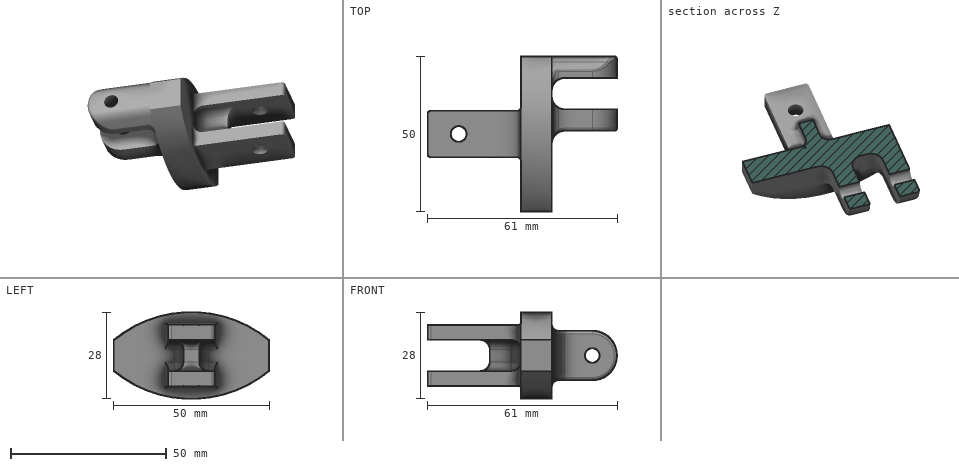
import cadquery as cq
import math

TOTAL_LENGTH = 61.0
SELECT_MARGIN = 0.05

PLATE_THICK = 10.0
PLATE_WIDTH = 50.0
PLATE_HEIGHT = 28.0
PLATE_END_HEIGHT = 10.0

TANG_LENGTH = 30.0
TANG_WIDTH = 15.0
TANG_GAP = 10.0
TANG_THICK = 4.9
TANG_CORNER_RADIUS = 1.0
TANG_HOLE_DIAMETER = 5.0
TANG_HOLE_X = -20.0
TANG_SIDE_FILLET = 1.05
TANG_OUTER_FILLET = 0.6
WEB_LENGTH = 10.0
WEB_WIDTH = 5.0
WEB_FILLET = 3.05

LUG_LENGTH = TOTAL_LENGTH - TANG_LENGTH - PLATE_THICK
LUG_RADIUS = 8.0
LUG_GAP = 10.0
FRONT_LUG_OUTER_Y = 1.0
LUG_THICK = (PLATE_WIDTH / 2 - FRONT_LUG_OUTER_Y - LUG_GAP) / 2
LUG_HOLE_DIAMETER = 4.65
LUG_SIDE_FILLET = 4.0
LUG_TOP_FILLET = 2.0
LUG_EDGE_ROUND = 1.0
LUG_TRIM_ROUND = 4.3
LUG_TRIM_INSET = 0.25

LUG_END_X = PLATE_THICK + LUG_LENGTH
LUG_CENTER_X = LUG_END_X - LUG_RADIUS
REAR_LUG_OUTER_Y = PLATE_WIDTH / 2
REAR_LUG_INNER_Y = REAR_LUG_OUTER_Y - LUG_THICK
FRONT_LUG_INNER_Y = REAR_LUG_INNER_Y - LUG_GAP


def lens_prism(length, inset=0.0):
    """Plate outline, lowered by inset at top and bottom, extruded from X = 0 along +X."""
    half_width = PLATE_WIDTH / 2
    half_height = PLATE_HEIGHT / 2 - inset
    half_end = PLATE_END_HEIGHT / 2 - inset
    return (
        cq.Workplane("YZ")
        .moveTo(-half_width, -half_end)
        .threePointArc((0, -half_height), (half_width, -half_end))
        .lineTo(half_width, half_end)
        .threePointArc((0, half_height), (-half_width, half_end))
        .close()
        .extrude(length)
    )


def flared_strip(plane, root, tip, low, high, low_flare, high_flare, depth):
    """Prism from root to tip along X whose two sides flare into the plate by tangent arcs."""
    outward = math.copysign(1, tip - root)
    diagonal = 1 - math.sqrt(0.5)
    outline = cq.Workplane(plane).moveTo(tip, low)
    if low_flare > 0:
        outline = outline.lineTo(root + outward * low_flare, low).threePointArc(
            (root + outward * low_flare * diagonal, low - low_flare * diagonal),
            (root, low - low_flare),
        )
    else:
        outline = outline.lineTo(root, low)
    outline = outline.lineTo(root, high + high_flare)
    if high_flare > 0:
        outline = outline.threePointArc(
            (root + outward * high_flare * diagonal, high + high_flare * diagonal),
            (root + outward * high_flare, high),
        )
    return outline.lineTo(tip, high).close().extrude(depth, both=True)


def make_tangs():
    """Two tangs and the web between them, with every root blended into the plate face."""
    half_gap = TANG_GAP / 2
    outer_z = half_gap + TANG_THICK
    wide = TANG_WIDTH * 2
    tall = outer_z * 4
    blank = cq.Workplane("XY").box(TANG_LENGTH, wide, tall).translate((-TANG_LENGTH / 2, 0, 0))
    side_space = (
        cq.Workplane("XY")
        .box(TANG_LENGTH * 2, wide, TANG_GAP)
        .translate((-TANG_LENGTH, (wide + WEB_WIDTH) / 2, 0))
        .faces(">X or <Y")
        .edges("not(>Y or <X)")
        .fillet(WEB_FILLET)
    )
    end_space = (
        cq.Workplane("XY")
        .box(TANG_LENGTH, wide * 2, TANG_GAP)
        .translate((-WEB_LENGTH - TANG_LENGTH / 2, 0, 0))
        .edges("|Y and >X")
        .fillet(WEB_FILLET)
    )
    blank = blank.cut(side_space).cut(side_space.mirror("XZ")).cut(end_space)

    half_width = TANG_WIDTH / 2
    plan = flared_strip(
        "XY", 0, -TANG_LENGTH, -half_width, half_width, TANG_SIDE_FILLET, TANG_SIDE_FILLET, tall
    )
    plan = plan.edges("|Z and <X").fillet(TANG_CORNER_RADIUS)
    side = flared_strip(
        "XZ", 0, -TANG_LENGTH, -outer_z, outer_z, TANG_OUTER_FILLET, TANG_OUTER_FILLET, wide
    )
    hole = cq.Workplane("XY").center(TANG_HOLE_X, 0).circle(TANG_HOLE_DIAMETER / 2).extrude(tall, both=True)
    return blank.intersect(plan).intersect(side).cut(hole)


def lug_side_profile():
    """Round-ended lug shape seen along Y, flared at the plate, as a prism through all Y."""
    body = flared_strip(
        "XZ", PLATE_THICK, LUG_CENTER_X, -LUG_RADIUS, LUG_RADIUS, LUG_TOP_FILLET, LUG_TOP_FILLET, PLATE_WIDTH
    )
    tip = cq.Workplane("XZ").center(LUG_CENTER_X, 0).circle(LUG_RADIUS).extrude(PLATE_WIDTH, both=True)
    return body.union(tip)


def make_lugs():
    """Front and rear lugs; the rear one is trimmed just inside the plate outline."""
    side = lug_side_profile()
    tall = PLATE_HEIGHT
    front = flared_strip(
        "XY", PLATE_THICK, LUG_END_X, FRONT_LUG_OUTER_Y, FRONT_LUG_INNER_Y,
        LUG_SIDE_FILLET, LUG_SIDE_FILLET, tall,
    ).intersect(side)
    front = front.edges(
        cq.selectors.BoxSelector(
            (PLATE_THICK + SELECT_MARGIN, FRONT_LUG_OUTER_Y - LUG_SIDE_FILLET, -tall),
            (LUG_END_X + SELECT_MARGIN, FRONT_LUG_OUTER_Y + SELECT_MARGIN, tall),
        )
    ).fillet(LUG_EDGE_ROUND)
    rear = flared_strip(
        "XY", PLATE_THICK, LUG_END_X, REAR_LUG_INNER_Y, REAR_LUG_OUTER_Y, LUG_SIDE_FILLET, 0, tall
    ).intersect(side)
    trim = lens_prism(LUG_END_X, LUG_TRIM_INSET).edges("|X and >Y").fillet(LUG_TRIM_ROUND)
    rear = rear.intersect(trim)
    rear = rear.edges(
        cq.selectors.BoxSelector(
            (PLATE_THICK + SELECT_MARGIN, REAR_LUG_INNER_Y + SELECT_MARGIN, -tall),
            (LUG_END_X + SELECT_MARGIN, REAR_LUG_OUTER_Y + SELECT_MARGIN, tall),
        )
    ).fillet(LUG_EDGE_ROUND)
    hole = (
        cq.Workplane("XZ").center(LUG_CENTER_X, 0).circle(LUG_HOLE_DIAMETER / 2)
        .extrude(PLATE_WIDTH, both=True)
    )
    return front.union(rear).cut(hole)


result = lens_prism(PLATE_THICK).union(make_tangs()).union(make_lugs())